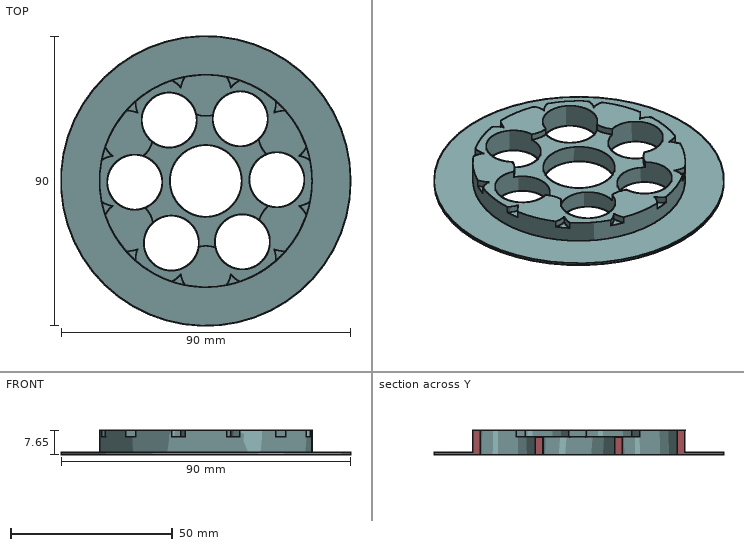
import cadquery as cq
import math

flange_diameter = 90.0
flange_thickness = 0.8
drum_diameter = 66.0
total_height = 7.65

center_hole_diameter = 22.2
outer_hole_count = 6
outer_hole_diameter = 17.0
outer_hole_circle_radius = 22.05
outer_hole_start_angle = 1.0

recess_depth = 2.1
recess_radius = outer_hole_circle_radius
land_tip_radius = 20.2
land_radius = outer_hole_diameter / 2

notch_count = 12
notch_depth = 2.1
notch_tip_radius = 30.0
notch_half_width = 2.2
notch_side_bow = 0.3

drum_radius = drum_diameter / 2
hole_step = 360 / outer_hole_count


def make_body():
    flange = cq.Workplane("XY").circle(flange_diameter / 2).extrude(flange_thickness)
    drum = cq.Workplane("XY").circle(drum_radius).extrude(total_height)
    return flange.union(drum)


def make_holes():
    center_hole = cq.Workplane("XY").circle(center_hole_diameter / 2).extrude(total_height)
    outer_holes = (
        cq.Workplane("XY")
        .polarArray(outer_hole_circle_radius, outer_hole_start_angle, 360, outer_hole_count)
        .circle(outer_hole_diameter / 2)
        .extrude(total_height)
    )
    return center_hole.union(outer_holes)


def make_recess():
    """Disc sunk into the top face, with a round land left between each pair of outer holes."""
    floor = cq.Workplane("XY").workplane(offset=total_height - recess_depth)
    disc = floor.circle(recess_radius).extrude(recess_depth)
    lands = (
        floor.polarArray(land_tip_radius + land_radius, hole_step / 2, 360, outer_hole_count)
        .circle(land_radius)
        .extrude(recess_depth)
    )
    return disc.cut(lands)


def make_notch():
    """Notch on the +X side: a point facing inward, with sides that flare out to the rim."""
    rim_x = math.sqrt(drum_radius**2 - notch_half_width**2)
    middle_x = (notch_tip_radius + rim_x) / 2
    middle_y = notch_half_width / 2 - notch_side_bow
    return (
        cq.Workplane("XY")
        .workplane(offset=total_height - notch_depth)
        .moveTo(notch_tip_radius, 0)
        .threePointArc((middle_x, middle_y), (rim_x, notch_half_width))
        .threePointArc((drum_radius, 0), (rim_x, -notch_half_width))
        .threePointArc((middle_x, -middle_y), (notch_tip_radius, 0))
        .close()
        .extrude(notch_depth)
    )


result = make_body().cut(make_holes()).cut(make_recess())
notch = make_notch()
notch_step = 360 / notch_count
for index in range(notch_count):
    notch_angle = (index + 0.5) * notch_step
    result = result.cut(notch.rotate((0, 0, 0), (0, 0, 1), notch_angle))